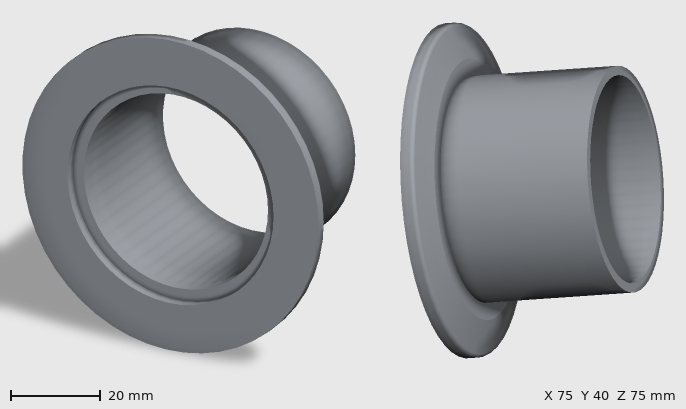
import cadquery as cq
import math

flange_diameter = 75.0
total_length = 40.0
tube_outer_diameter = 50.8
tube_bore_diameter = 46.6

flange_thickness = 5.2
cone_angle = 15.0
rim_height = 3.0
rim_fillet_radius = 1.0

recess_diameter = 52.2
recess_depth = 2.6

flange_radius = flange_diameter / 2
tube_radius = tube_outer_diameter / 2
cone_height = flange_thickness - rim_height
cone_top_radius = flange_radius - cone_height / math.tan(math.radians(cone_angle))


def revolve_about_y(profile):
    """Turn a closed half-profile in the XY plane into a solid around the Y axis."""
    return profile.close().revolve(360, (0, 0, 0), (0, 1, 0))


def make_flanged_tube():
    """Solid flange and tube, with the edge between rim and cone rounded."""
    turn = math.radians(90 - cone_angle)
    tangent_length = rim_fillet_radius * math.tan(turn / 2)
    fillet_center_x = flange_radius - rim_fillet_radius
    fillet_start_y = rim_height - tangent_length

    def fillet_point(angle):
        return (
            fillet_center_x + rim_fillet_radius * math.cos(angle),
            fillet_start_y + rim_fillet_radius * math.sin(angle),
        )

    profile = (
        cq.Workplane("XY")
        .moveTo(0, 0)
        .lineTo(flange_radius, 0)
        .lineTo(flange_radius, fillet_start_y)
        .threePointArc(fillet_point(turn / 2), fillet_point(turn))
        .lineTo(cone_top_radius, flange_thickness)
        .lineTo(tube_radius, flange_thickness)
        .lineTo(tube_radius, total_length)
        .lineTo(0, total_length)
    )
    return revolve_about_y(profile)


def make_bore():
    """Through bore with the wider recess at the sealing face."""
    bore_radius = tube_bore_diameter / 2
    recess_radius = recess_diameter / 2
    profile = (
        cq.Workplane("XY")
        .moveTo(0, 0)
        .lineTo(recess_radius, 0)
        .lineTo(recess_radius, recess_depth)
        .lineTo(bore_radius, recess_depth)
        .lineTo(bore_radius, total_length)
        .lineTo(0, total_length)
    )
    return revolve_about_y(profile)


result = make_flanged_tube().cut(make_bore())